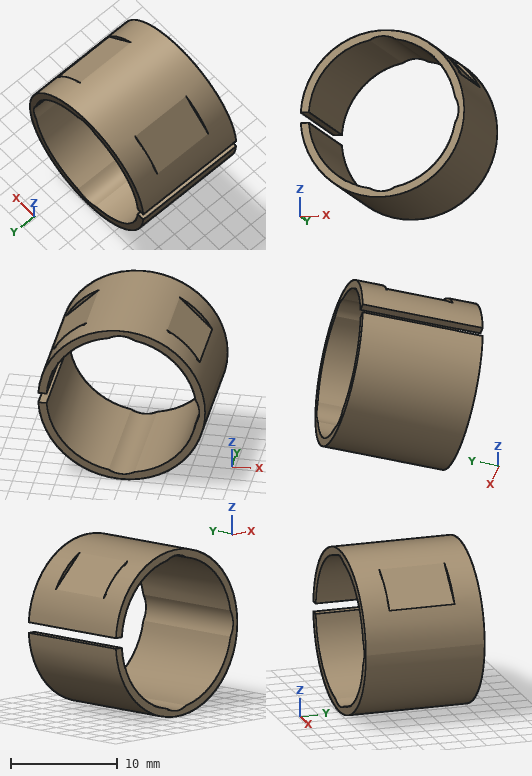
import cadquery as cq
import math

outer_radius = 7.94
wall = 0.8
length = 11.69
inner_radius = outer_radius - wall

slit_width = 1.0

groove_radius = 2.38
groove_wall = 0.55
groove_angles = (-90, 0, 90)

flat_length = 6.4
flat_half_angle = 16.0
flat_angles = (45, 135)


def cylinder(radius, axis_x=0, axis_z=0):
    """Full-length cylinder parallel to Y."""
    return cq.Workplane("XZ").center(axis_x, axis_z).circle(radius).extrude(length / 2, both=True)


def turned(shape, angle):
    """Turn a shape around Y, from +X towards +Z."""
    return shape.rotate((0, 0, 0), (0, 1, 0), -angle)


def groove_cutter(angle):
    offset = outer_radius - groove_wall - groove_radius
    return turned(cylinder(groove_radius, offset), angle)


def flat_cutter(angle):
    flat_distance = outer_radius * math.cos(math.radians(flat_half_angle))
    block = cq.Workplane("XY").box(wall, flat_length, outer_radius)
    return turned(block.translate((flat_distance + wall / 2, 0, 0)), angle)


ring = cylinder(outer_radius).cut(cylinder(inner_radius))

for groove_angle in groove_angles:
    ring = ring.cut(groove_cutter(groove_angle))

for flat_angle in flat_angles:
    ring = ring.cut(flat_cutter(flat_angle))

slit = cq.Workplane("XY").box(outer_radius, length, slit_width).translate((-outer_radius, 0, 0))
result = ring.cut(slit)